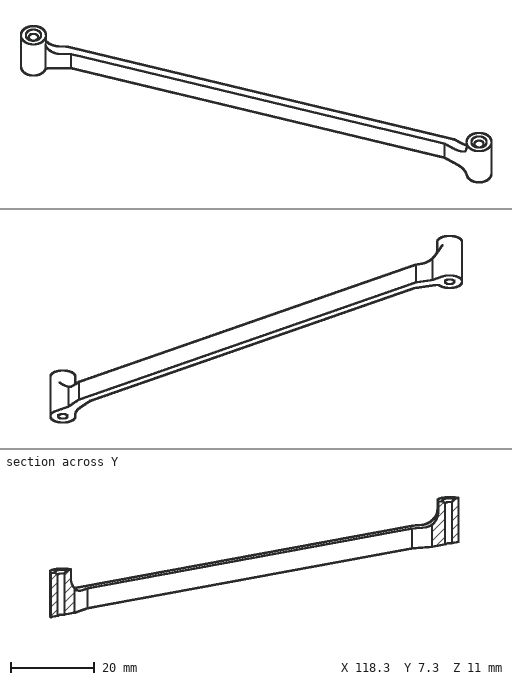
import cadquery as cq
import math

length = 118.3
overall_width = 7.3
boss_diameter = 6.0
boss_radius = boss_diameter / 2
boss_height = 11.0
hole_diameter = 2.2
countersink_diameter = 3.7

bar_height = 5.0
bar_front = 2.2
bar_back = overall_width - boss_radius

arm_slope = 0.33
left_arm_end = 8.8
left_arm_root = 3.8
right_arm_end = 9.5
right_arm_root = 5.7
back_bend_offset = 1.9
left_web_contact_angle = -20.0
right_web_contact_angle = -30.0

blend_radius = 3.8

boss_x = length / 2 - boss_radius


def arm(end, root, contact_angle):
    """Arm inclined toward +X from a boss at the origin, with a blend up the boss wall."""
    angle = math.radians(contact_angle)
    contact = (boss_radius * math.cos(angle), boss_radius * math.sin(angle))
    root_point = (root, bar_front - arm_slope * (end - root))
    back_bend = end - back_bend_offset
    back_root = back_bend - (bar_back - boss_radius) / arm_slope
    outline = (
        cq.Workplane("XY")
        .moveTo(0, 0)
        .lineTo(0, boss_radius)
        .lineTo(back_root, boss_radius)
        .lineTo(back_bend, bar_back)
        .lineTo(end, bar_back)
        .lineTo(end, bar_front)
        .lineTo(*root_point)
    )
    outline = outline.tangentArcPoint(contact, relative=False)
    body = outline.close().extrude(boss_height)

    flare_radius = boss_radius + blend_radius
    flare_top = bar_height + blend_radius
    diagonal = blend_radius * (1 - math.sqrt(0.5))
    envelope = (
        cq.Workplane("XZ")
        .lineTo(end + boss_radius, 0)
        .lineTo(end + boss_radius, bar_height)
        .lineTo(flare_radius, bar_height)
        .threePointArc((boss_radius + diagonal, bar_height + diagonal), (boss_radius, flare_top))
        .lineTo(boss_radius, boss_height)
        .lineTo(0, boss_height)
        .close()
        .revolve(360, (0, 0, 0), (0, 1, 0))
    )
    return body.intersect(envelope)


left_arm = arm(left_arm_end, left_arm_root, left_web_contact_angle)
right_arm = arm(right_arm_end, right_arm_root, right_web_contact_angle).mirror("YZ")

bar_left = left_arm_end - boss_x
bar_right = boss_x - right_arm_end
bar = cq.Workplane("XY").box(
    bar_right - bar_left, bar_back - bar_front, bar_height, centered=False
).translate((bar_left, bar_front, 0))

boss_centers = [(-boss_x, 0), (boss_x, 0)]
bosses = cq.Workplane("XY").pushPoints(boss_centers).circle(boss_radius).extrude(boss_height)

result = (
    bosses.union(bar)
    .union(left_arm.translate((-boss_x, 0, 0)))
    .union(right_arm.translate((boss_x, 0, 0)))
)

result = (
    result.faces(">Z")
    .workplane(origin=(0, 0, boss_height))
    .pushPoints(boss_centers)
    .cskHole(hole_diameter, countersink_diameter, 90)
)